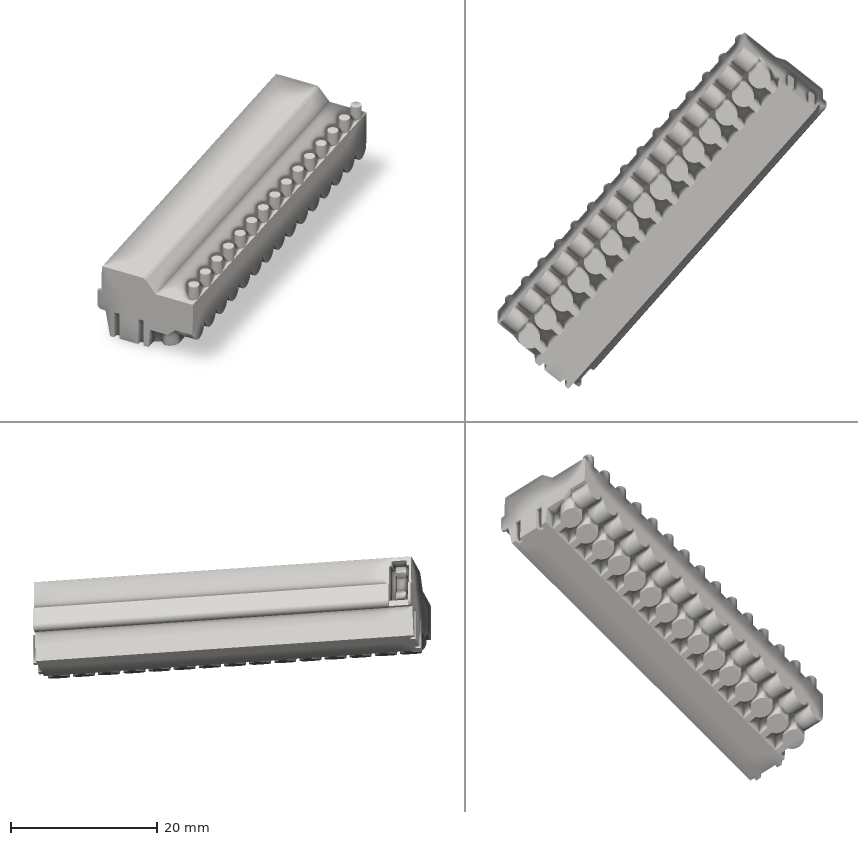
import cadquery as cq

positions = 15
pitch = 3.5
length = positions * pitch
width = 14.6
height = 11.1

rear_x = 0.65
flange_top_z = 7.12
shoulder_z = 4.0
deck_z = 9.0
crest_start_x = 7.03
slope_start_x = 7.34
slope_start_z = 10.88
slope_end_x = 8.95
skirt_top_x = 1.25
skirt_tip_x = 1.95
skirt_front_tip_x = 7.85
skirt_front_top_x = 8.05
recess_z = 2.9
recess_end_x = 10.8
overhang_x = 11.9
flange_lower_radius = 0.7
edge_radius = 0.2
end_draft = 0.08

pin_radius = 0.75
pin_x = width - pin_radius

boss_radius = 1.5
boss_rear_x = 9.15
boss_x = boss_rear_x + boss_radius
boss_flat_x = 11.85
boss_tip_z = 1.05
boss_offset_y = 0.22
web_thickness = 1.0
saddle_radius = 1.38
saddle_axis_z = 3.65

key_centers_x = (2.97, 6.65)
key_height = 4.1
rib_height = 0.5
rib_neck_height = 0.3
rib_head_width = 0.85
rib_root_width = 0.7
groove_depth = 0.6
groove_mouth_width = 0.85
groove_floor_width = 0.55

pocket_center_y = 1.68
pocket_width = 2.72
pocket_floor_z = 4.77
pocket_top_z = 9.8
pocket_back_x = 2.75
slot_width = 2.05
slot_top_z = 10.5
window_width = 1.75
window_bottom_z = 6.4
window_top_z = 9.1
window_back_x = 3.3
contact_width = 1.45
contact_bottom_z = 5.05
contact_top_z = 10.2
contact_face_x = 2.2
contact_lip_z = 5.5
contact_hollow_z = (6.4, 7.1, 8.75, 9.35)
contact_hollow_x = 3.0


def box(x_range, y_range, z_range):
    """Axis-aligned box between the given limits."""
    (x0, x1), (y0, y1), (z0, z1) = x_range, y_range, z_range
    return cq.Workplane("XY").box(x1 - x0, y1 - y0, z1 - z0, centered=False).translate((x0, y0, z0))


def centered_span(center, size):
    return (center - size / 2, center + size / 2)


def extrude_along_y(points, y_range):
    """Extrude an XZ outline between two Y positions."""
    y0, y1 = y_range
    return cq.Workplane("XZ", origin=(0, y0, 0)).polyline(points).close().extrude(y0 - y1)


def make_housing():
    outline = [
        (rear_x, height),
        (crest_start_x, height),
        (slope_start_x, slope_start_z),
        (slope_end_x, deck_z),
        (width, deck_z),
        (width, shoulder_z),
        (overhang_x, shoulder_z),
        (recess_end_x, recess_z),
        (skirt_front_top_x, recess_z),
        (skirt_front_tip_x, 0),
        (skirt_tip_x, 0),
        (skirt_top_x, shoulder_z),
        (0, shoulder_z),
        (0, flange_top_z),
        (rear_x, flange_top_z),
    ]
    housing = extrude_along_y(outline, (-end_draft, length))

    def long_edge(x, z):
        return cq.selectors.NearestToPointSelector((x, length / 2, z))

    housing = housing.edges(long_edge(0, shoulder_z)).fillet(flange_lower_radius)
    housing = housing.edges(long_edge(0, flange_top_z)).fillet(edge_radius)
    return housing.edges(long_edge(rear_x, height)).fillet(edge_radius)


def make_end_relief():
    """Waste wedge that leaves the near end face leaning outward towards the skirt tip."""
    side = [(-end_draft, 0), (-end_draft, height), (0, height)]
    return cq.Workplane("YZ").polyline(side).close().extrude(width)


def make_rib(center_x):
    neck_y = length + rib_neck_height
    head = rib_head_width / 2
    root = rib_root_width / 2
    section = [
        (center_x - root, length),
        (center_x - head, neck_y),
        (center_x - head, length + rib_height),
        (center_x + head, length + rib_height),
        (center_x + head, neck_y),
        (center_x + root, length),
    ]
    return cq.Workplane("XY").polyline(section).close().extrude(key_height)


def make_groove(center_x):
    mouth = groove_mouth_width / 2
    floor = groove_floor_width / 2
    section = [
        (center_x - mouth, -end_draft),
        (center_x - mouth, 0),
        (center_x - floor, groove_depth),
        (center_x + floor, groove_depth),
        (center_x + mouth, 0),
        (center_x + mouth, -end_draft),
    ]
    return cq.Workplane("XY").polyline(section).close().extrude(key_height)


def make_pin(y):
    return cq.Workplane("XY", origin=(pin_x, y, deck_z)).circle(pin_radius).extrude(height - deck_z)


def make_boss(y):
    """Round boss with a web back to the skirt, with one sloping underside and a flat forward side."""
    post = cq.Workplane("XY", origin=(boss_x, y, 0)).circle(boss_radius).extrude(shoulder_z)
    web = box((skirt_front_tip_x, boss_x), centered_span(y, web_thickness), (0, recess_z))
    below = extrude_along_y(
        [(skirt_front_tip_x, 0), (boss_flat_x, boss_tip_z), (boss_flat_x, 0)],
        centered_span(y, pitch),
    )
    forward = box((boss_flat_x, width), centered_span(y, pitch), (0, shoulder_z))
    return post.union(web).cut(below).cut(forward)


def make_saddle(y):
    """U-shaped rib running forward from the boss to the front face."""
    return (
        cq.Workplane("YZ", origin=(boss_flat_x, 0, 0))
        .moveTo(y - saddle_radius, shoulder_z)
        .lineTo(y - saddle_radius, saddle_axis_z)
        .threePointArc((y, saddle_axis_z - saddle_radius), (y + saddle_radius, saddle_axis_z))
        .lineTo(y + saddle_radius, shoulder_z)
        .close()
        .extrude(width - boss_flat_x)
    )


def make_pocket():
    """Pocket open to the rear, notching the flange, with a slot above and a window behind."""
    pocket_y = centered_span(pocket_center_y, pocket_width)
    slot_y = centered_span(pocket_center_y, slot_width)
    window_y = centered_span(pocket_center_y, window_width)
    notch = box((0, rear_x), pocket_y, (shoulder_z, flange_top_z))
    pocket = box((0, pocket_back_x), pocket_y, (pocket_floor_z, pocket_top_z))
    slot_profile = [
        (0, pocket_top_z),
        (0, slot_top_z),
        (rear_x, slot_top_z),
        (pocket_back_x, contact_top_z),
        (pocket_back_x, pocket_top_z),
    ]
    slot = extrude_along_y(slot_profile, slot_y)
    window = box((0, window_back_x), window_y, (window_bottom_z, window_top_z))
    return notch.union(pocket).union(slot).union(window)


def make_contact():
    """Upright contact strip on the pocket's back wall, hollowed at mid height."""
    hollow_start, floor_start, floor_end, hollow_end = contact_hollow_z
    profile = [
        (window_back_x, contact_bottom_z),
        (pocket_back_x, contact_bottom_z),
        (contact_face_x, contact_lip_z),
        (contact_face_x, hollow_start),
        (contact_hollow_x, floor_start),
        (contact_hollow_x, floor_end),
        (contact_face_x, hollow_end),
        (contact_face_x, contact_top_z),
        (window_back_x, contact_top_z),
    ]
    return extrude_along_y(profile, centered_span(pocket_center_y, contact_width))


result = make_housing().cut(make_end_relief())

for index in range(positions):
    position_y = (index + 0.5) * pitch
    result = result.union(make_pin(position_y))
    result = result.union(make_boss(position_y + boss_offset_y))
    result = result.union(make_saddle(position_y + boss_offset_y))

for key_x in key_centers_x:
    result = result.union(make_rib(key_x))
    result = result.cut(make_groove(key_x))

result = result.cut(make_pocket()).union(make_contact())